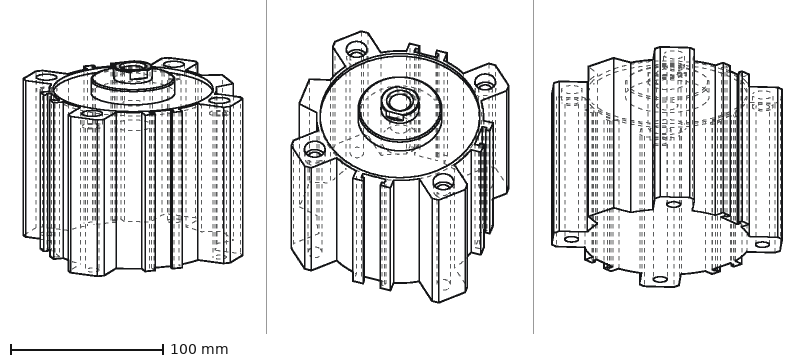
import cadquery as cq
import math

half_width = 60.0
housing_height = 107.0
barrel_diameter = 109.6

recess_diameter = 105.0
recess_depth = 2.8

boss_diameter = 55.0
boss_top = 114.3
boss_chamfer = 1.0

lug_width = 26.0
lug_reach = 75.1
bolt_offset = 44.4
bolt_diameter = 9.0
counterbore_diameter = 13.5
counterbore_depth = 8.6

rail_width = 26.0
slot_opening = 12.0
slot_width = 15.9
slot_depth = 5.8
slot_lip = 2.8
rail_angles = (0, 180, 270)

rib_reach = 66.0
rib_root = 27.7
rib_tip_width = 21.9
rib_taper_angle = 15

rod_diameter = 25.0
rod_top = 122.5
rod_length = 40.3
rod_chamfer = 0.5
flats_distance = 21.9
flats_bottom = 117.0
rod_hole_diameter = 13.9
rod_hole_depth = 25.2
rod_hole_mouth_diameter = 17.5

rod_bottom = rod_top - rod_length
recess_floor = housing_height - recess_depth


def disc(diameter, bottom, top):
    """Upright cylinder on the Z axis between two heights."""
    return cq.Workplane("XY").workplane(offset=bottom).circle(diameter / 2).extrude(top - bottom)


def make_lugs():
    """Two crossed diagonal bars, with their ends cut square to the envelope."""
    bar = cq.Workplane("XY").rect(2 * lug_reach, lug_width).extrude(housing_height)
    bars = bar.rotate((0, 0, 0), (0, 0, 1), 45).union(bar.rotate((0, 0, 0), (0, 0, 1), -45))
    envelope = cq.Workplane("XY").rect(2 * half_width, 2 * half_width).extrude(housing_height)
    return bars.intersect(envelope)


def make_rail(angle):
    """Full-height rail block pointing along the given direction."""
    block = cq.Workplane("XY").rect(half_width, rail_width).extrude(housing_height)
    return block.translate((half_width / 2, 0, 0)).rotate((0, 0, 0), (0, 0, 1), angle)


def make_t_slot(angle):
    """Cutter for the T-slot of the rail pointing along the given direction."""
    floor = half_width - slot_depth
    lip_back = half_width - slot_lip
    outline = [
        (floor, -slot_width / 2),
        (lip_back, -slot_width / 2),
        (lip_back, -slot_opening / 2),
        (half_width, -slot_opening / 2),
        (half_width, slot_opening / 2),
        (lip_back, slot_opening / 2),
        (lip_back, slot_width / 2),
        (floor, slot_width / 2),
    ]
    slot = cq.Workplane("XY").polyline(outline).close().extrude(housing_height)
    return slot.rotate((0, 0, 0), (0, 0, 1), angle)


def make_rib():
    """Rib that widens from its tip back into the barrel."""
    tip_half = rib_tip_width / 2
    root_half = tip_half + (rib_reach - rib_root) * math.tan(math.radians(rib_taper_angle))
    outline = [(-root_half, rib_root), (root_half, rib_root), (tip_half, rib_reach), (-tip_half, rib_reach)]
    return cq.Workplane("XY").polyline(outline).close().extrude(housing_height)


def make_housing():
    """Barrel with lugs, rails, rib, top recess, boss and the socket for the rod."""
    housing = disc(barrel_diameter, 0, housing_height).union(make_lugs()).union(make_rib())
    for angle in rail_angles:
        housing = housing.union(make_rail(angle))
    for angle in rail_angles:
        housing = housing.cut(make_t_slot(angle))

    housing = housing.cut(disc(recess_diameter, recess_floor, housing_height))
    boss = disc(boss_diameter, recess_floor, boss_top).faces(">Z").chamfer(boss_chamfer)
    housing = housing.union(boss)

    bolt_hole = disc(bolt_diameter, 0, housing_height)
    counterbore = disc(counterbore_diameter, housing_height - counterbore_depth, housing_height)
    bolt_cutter = bolt_hole.union(counterbore)
    for x in (-bolt_offset, bolt_offset):
        for y in (-bolt_offset, bolt_offset):
            housing = housing.cut(bolt_cutter.translate((x, y, 0)))

    return housing.cut(disc(rod_diameter, rod_bottom, boss_top))


def make_rod():
    """Round rod with a chamfered end, wrench flats and a countersunk blind hole."""
    rod = disc(rod_diameter, rod_bottom, rod_top).faces(">Z").chamfer(rod_chamfer)

    flats_height = rod_top - flats_bottom
    across_flats = cq.Workplane("XY").rect(flats_distance, rod_diameter).extrude(flats_height)
    flats_cutter = disc(rod_diameter, flats_bottom, rod_top).cut(across_flats.translate((0, 0, flats_bottom)))
    rod = rod.cut(flats_cutter)

    rod = rod.cut(disc(rod_hole_diameter, rod_top - rod_hole_depth, rod_top))
    mouth_chamfer = (rod_hole_mouth_diameter - rod_hole_diameter) / 2
    return rod.faces(">Z").edges(cq.selectors.RadiusNthSelector(0)).chamfer(mouth_chamfer)


housing = make_housing()
rod = make_rod()

result = cq.Compound.makeCompound([housing.val(), rod.val()])